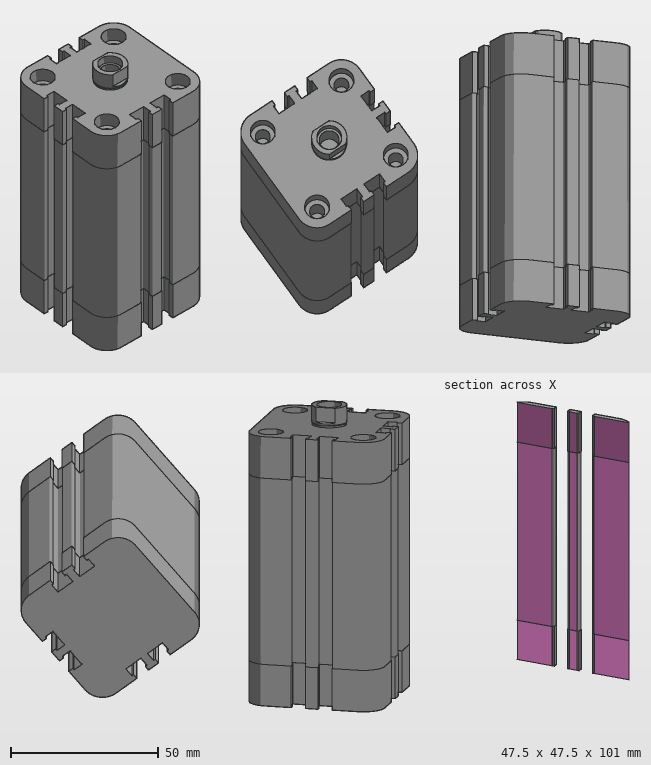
import cadquery as cq
WIDTH = 47.5
TOTAL_HEIGHT = 101.0
ROD_PROJECTION = 6.8
CAP_HEIGHT = 14.5
BODY_HEIGHT = TOTAL_HEIGHT - ROD_PROJECTION
TUBE_HEIGHT = BODY_HEIGHT - 2 * CAP_HEIGHT
CAP_JOINT_Z = BODY_HEIGHT - CAP_HEIGHT
CORNER_RADIUS = 7.5

CORNER_EDGES = "(<X or >X) and (<Y or >Y)"

SLOT_PITCH = 9.4
SLOT_DEPTH = 5.2
LIP_DEPTH = 1.8
TUBE_SLOT_EDGE_RADIUS = 0.3
MOUTH_WIDTH = 5.0
POCKET_WIDTH = 6.5
SLOTTED_FACE_ANGLES = (0, 90, -90)

SCREW_SPACING = WIDTH - 2 * CORNER_RADIUS
SCREW_HEAD_DIAMETER = 8.5
SCREW_HEAD_DEPTH = 5.0
SCREW_DIAMETER = 5.0

NECK_DIAMETER = 11.8
NECK_EXPOSED = 0.6
ROD_DIAMETER = 12.0
SHOULDER_HEIGHT = 0.3
FLATS_WIDTH = 10.0
FLATS_BASE_Z = BODY_HEIGHT + 1.7
FLATS_RUNOUT_Z = BODY_HEIGHT + 1.3
THREAD_DIAMETER = 6.8
THREAD_DEPTH = 12.1
RECESS_DIAMETER = 8.5
RECESS_DEPTH = 3.0


def make_slot(height):
    """Cutter for one T-slot, opening on the plane y = 0 and going in along +Y."""
    half_mouth = MOUTH_WIDTH / 2
    half_pocket = POCKET_WIDTH / 2
    right_side = [
        (half_mouth, 0),
        (half_mouth, LIP_DEPTH),
        (half_pocket, LIP_DEPTH),
        (half_pocket, SLOT_DEPTH),
    ]
    left_side = [(-x, y) for x, y in reversed(right_side)]
    return cq.Workplane("XY").polyline(right_side + left_side).close().extrude(height)


def slotted_block(base_z, height, slot_edge_radius=0):
    """Square block with rounded corners and T-slots along its length."""
    block = cq.Workplane("XY").rect(WIDTH, WIDTH).extrude(height)
    slot = make_slot(height)
    for angle in SLOTTED_FACE_ANGLES:
        for offset in (-SLOT_PITCH / 2, SLOT_PITCH / 2):
            placed_slot = slot.translate((offset, -WIDTH / 2, 0)).rotate((0, 0, 0), (0, 0, 1), angle)
            block = block.cut(placed_slot)
    if slot_edge_radius:
        block = block.edges(f"|Z and (not ({CORNER_EDGES}))").fillet(slot_edge_radius)
    block = block.edges(f"|Z and ({CORNER_EDGES})").fillet(CORNER_RADIUS)
    return block.translate((0, 0, base_z))


def make_cap(base_z):
    return slotted_block(base_z, CAP_HEIGHT)


def make_front_cap():
    return (
        make_cap(CAP_JOINT_Z)
        .faces(">Z")
        .workplane(origin=(0, 0, BODY_HEIGHT))
        .rect(SCREW_SPACING, SCREW_SPACING, forConstruction=True)
        .vertices()
        .cboreHole(SCREW_DIAMETER, SCREW_HEAD_DIAMETER, SCREW_HEAD_DEPTH)
        .faces(">Z")
        .workplane(origin=(0, 0, BODY_HEIGHT))
        .hole(NECK_DIAMETER)
    )


def make_rod():
    neck_radius = NECK_DIAMETER / 2
    rod_radius = ROD_DIAMETER / 2
    neck_top_z = BODY_HEIGHT + NECK_EXPOSED
    rod = (
        cq.Workplane("XZ")
        .polyline([
            (0, CAP_JOINT_Z),
            (neck_radius, CAP_JOINT_Z),
            (neck_radius, neck_top_z),
            (rod_radius, neck_top_z + SHOULDER_HEIGHT),
            (rod_radius, TOTAL_HEIGHT),
            (0, TOTAL_HEIGHT),
        ])
        .close()
        .revolve(360, (0, 0, 0), (0, 1, 0))
    )
    flat_cutter = (
        cq.Workplane("XZ")
        .polyline([
            (FLATS_WIDTH / 2, FLATS_BASE_Z),
            (rod_radius, FLATS_RUNOUT_Z),
            (rod_radius, TOTAL_HEIGHT),
            (FLATS_WIDTH / 2, TOTAL_HEIGHT),
        ])
        .close()
        .extrude(rod_radius, both=True)
    )
    return (
        rod.cut(flat_cutter)
        .cut(flat_cutter.mirror("YZ"))
        .faces(">Z")
        .workplane(origin=(0, 0, TOTAL_HEIGHT))
        .cboreHole(THREAD_DIAMETER, RECESS_DIAMETER, RECESS_DEPTH, THREAD_DEPTH)
    )


rear_cap = make_cap(0)
tube = slotted_block(CAP_HEIGHT, TUBE_HEIGHT, TUBE_SLOT_EDGE_RADIUS)
front_cap = make_front_cap()
piston_rod = make_rod()

result = cq.Compound.makeCompound([rear_cap.val(), tube.val(), front_cap.val(), piston_rod.val()])